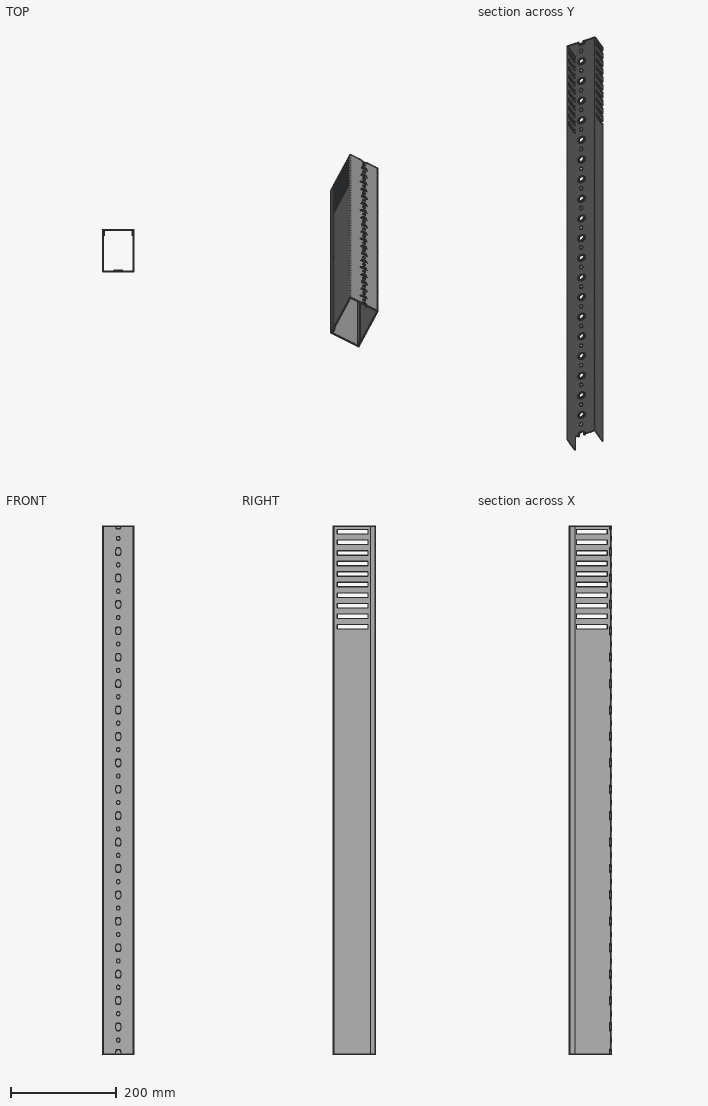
import cadquery as cq

WIDTH = 60.0
DEPTH = 80.0
LENGTH = 1000.0

WALL = 2.0
BEND_RADIUS = 2.0

LIP_DEPTH = 9.0

HOLE_WIDTH = 10.0
HOLE_LENGTH = 14.0
SLIT_WIDTH = 6.0
SLIT_LENGTH = 8.0
HOLE_PITCH = 50.0
FIRST_HOLE_Z = 2.0

PAD_DIAMETER = 16.0
PAD_HEIGHT = 2.0

VENT_COUNT = 10
VENT_PITCH = 20.0
VENT_HEIGHT = 8.0
VENT_LENGTH = 58.0
VENT_CENTRE_Y = -3.0
VENT_TOP_MARGIN = 6.5

half_width = WIDTH / 2
front_y = -DEPTH / 2
back_y = DEPTH / 2
base_inner_y = front_y + WALL
lip_end_y = back_y - LIP_DEPTH
interval_count = round(LENGTH / HOLE_PITCH)
hole_places = [(0, FIRST_HOLE_Z + i * HOLE_PITCH) for i in range(interval_count + 1)]
slit_places = [(0, FIRST_HOLE_Z + (i + 0.5) * HOLE_PITCH) for i in range(interval_count)]


def symmetric_prism(right_half):
    """Mirror a +X half outline across X = 0, close it and extrude it over the full length."""
    left_half = [(-x, y) for x, y in reversed(right_half)]
    return cq.Workplane("XY").polyline(right_half + left_half).close().extrude(LENGTH)


def make_channel():
    """U channel whose side walls step inward by one wall to pass under the cover lips."""
    side_inner_x = half_width - WALL
    rim_inner_x = side_inner_x - WALL
    rim_y = back_y - WALL
    step_inner_y = lip_end_y - WALL
    channel = symmetric_prism([
        (half_width, front_y),
        (half_width, lip_end_y),
        (side_inner_x, lip_end_y),
        (side_inner_x, rim_y),
        (rim_inner_x, rim_y),
        (rim_inner_x, step_inner_y),
        (side_inner_x, step_inner_y),
        (side_inner_x, base_inner_y),
    ])
    return channel.edges("|Z and <Y").fillet(BEND_RADIUS)


def add_pads(duct):
    """Round pads around the base holes, trimmed flush at both ends of the duct."""
    envelope = cq.Workplane("XY").box(WIDTH, DEPTH, LENGTH, centered=(True, True, False))
    base_inside = cq.Workplane("XZ", origin=(0, base_inner_y, 0))
    pads = base_inside.pushPoints(hole_places).circle(PAD_DIAMETER / 2).extrude(-PAD_HEIGHT)
    return duct.union(pads.intersect(envelope))


def cut_base_openings(duct):
    """Holes through base and pads, open at both ends of the duct, and the slits between them."""
    front = cq.Workplane("XZ", origin=(0, front_y, 0))
    cut_depth = WALL + PAD_HEIGHT
    holes = front.pushPoints(hole_places).slot2D(HOLE_LENGTH, HOLE_WIDTH, 90).extrude(-cut_depth)
    slits = front.pushPoints(slit_places).slot2D(SLIT_LENGTH, SLIT_WIDTH, 90).extrude(-cut_depth)
    return duct.cut(holes).cut(slits)


def cut_vents(duct):
    """Rectangular slots passing through both side walls."""
    top_vent_z = LENGTH - VENT_TOP_MARGIN - VENT_HEIGHT / 2
    vent_places = [(VENT_CENTRE_Y, top_vent_z - i * VENT_PITCH) for i in range(VENT_COUNT)]
    side = cq.Workplane("YZ", origin=(-half_width, 0, 0))
    vents = side.pushPoints(vent_places).rect(VENT_LENGTH, VENT_HEIGHT).extrude(WIDTH)
    return duct.cut(vents)


def make_duct():
    """Perforated duct, open along its back."""
    duct = add_pads(make_channel())
    duct = cut_base_openings(duct)
    return cut_vents(duct)


def make_cover():
    """Shallow U cover with a lip along each long side."""
    inner_x = half_width - WALL
    return symmetric_prism([
        (half_width, back_y),
        (half_width, lip_end_y),
        (inner_x, lip_end_y),
        (inner_x, back_y - WALL),
    ])


duct = make_duct()
cover = make_cover()

result = cq.Compound.makeCompound([duct.solids().val(), cover.solids().val()])